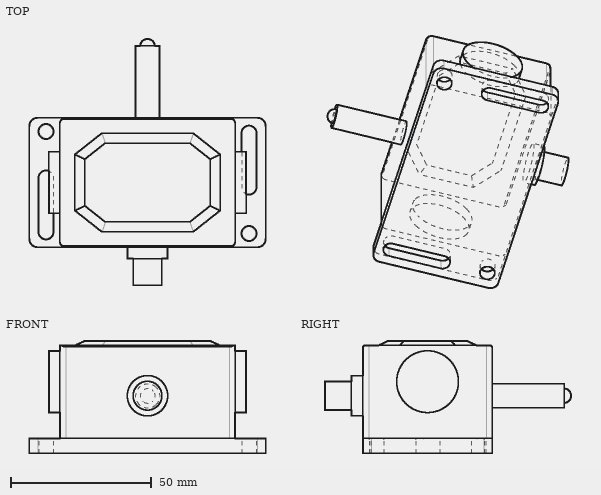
import cadquery as cq
import math

plate_length = 84.0
plate_width = 46.0
plate_height = 5.3
plate_corner_radius = 3.0
hole_diameter = 5.25
slot_width = 5.25
hole_x = 36.05
hole_y = 18.1
slot_length = 24.4
slot_y = 8.0

housing_length = 62.3
housing_top = 38.3
housing_corner_radius = 2.2
housing_top_chamfer = 0.5
housing_height = housing_top - plate_height

overall_height = 40.0
cover_length = 51.5
cover_width = 35.0
cover_corner_x = 9.5
cover_corner_y = 7.5
cover_bevel_width = 3.5
cover_height = overall_height - housing_top

cap_diameter = 22.0
cap_span = 70.0
cap_z = 25.5
cap_thickness = (cap_span - housing_length) / 2

overall_width = 87.5
shaft_z = 20.5
collar_diameter = 14.35
collar_length = 4.0
front_shaft_diameter = 10.2
front_shaft_length = 9.45
rear_shaft_diameter = 8.6
tip_radius = 2.6
tip_length = 2.45
rear_shaft_length = (
    overall_width - plate_width - collar_length - front_shaft_length - tip_length
)

front_face_y = -plate_width / 2
collar_end_y = front_face_y - collar_length
rear_face_y = plate_width / 2
rear_shaft_end_y = rear_face_y + rear_shaft_length


def make_plate():
    """Rounded plate with one hole and one slot at each end, placed with half-turn symmetry."""
    plate = (
        cq.Workplane("XY")
        .box(plate_length, plate_width, plate_height, centered=(True, True, False))
        .edges("|Z")
        .fillet(plate_corner_radius)
    )
    holes = [(-hole_x, hole_y), (hole_x, -hole_y)]
    slots = [(-hole_x, -slot_y), (hole_x, slot_y)]
    plate = plate.faces(">Z").workplane().pushPoints(holes).hole(hole_diameter)
    slot_cut = (
        cq.Workplane("XY")
        .pushPoints(slots)
        .slot2D(slot_length, slot_width, 90)
        .extrude(plate_height)
    )
    return plate.cut(slot_cut)


def make_housing():
    """Block with chamfered front and rear top edges and rounded upright edges."""
    block = (
        cq.Workplane("XY")
        .workplane(offset=plate_height)
        .box(housing_length, plate_width, housing_height, centered=(True, True, False))
    )
    block = block.faces(">Z").edges("|X").chamfer(housing_top_chamfer)
    return block.edges("|Z").fillet(housing_corner_radius)


def make_cover():
    """Octagonal cover whose sides slope inward by the bevel width."""
    half_length = cover_length / 2
    half_width = cover_width / 2
    side_x = half_length - cover_corner_x
    end_y = half_width - cover_corner_y
    outline = [
        (half_length, -end_y),
        (half_length, end_y),
        (side_x, half_width),
        (-side_x, half_width),
        (-half_length, end_y),
        (-half_length, -end_y),
        (-side_x, -half_width),
        (side_x, -half_width),
    ]
    slope = math.degrees(math.atan2(cover_bevel_width, cover_height))
    return (
        cq.Workplane("XY")
        .workplane(offset=housing_top)
        .polyline(outline)
        .close()
        .extrude(cover_height, taper=slope)
    )


def make_cap(side):
    """Round cap on the housing end; side is -1 or 1 along X."""
    return (
        cq.Workplane("YZ", origin=(side * housing_length / 2, 0, 0))
        .center(0, cap_z)
        .circle(cap_diameter / 2)
        .extrude(side * cap_thickness)
    )


def make_cylinder(diameter, start_y, length):
    """Cylinder on the shaft axis. A positive length runs toward -Y."""
    return (
        cq.Workplane("XZ", origin=(0, start_y, shaft_z))
        .circle(diameter / 2)
        .extrude(length)
    )


def make_tip():
    """Part of a ball that stands out of the rear shaft's flat end."""
    ball_y = rear_shaft_end_y + tip_length - tip_radius
    ball = cq.Workplane("XY", origin=(0, ball_y, shaft_z)).sphere(tip_radius)
    kept = make_cylinder(2 * rear_shaft_diameter, rear_shaft_end_y, -2 * tip_radius)
    return ball.intersect(kept)


plate = make_plate()
housing = make_housing()
cover = make_cover()
caps = [make_cap(side) for side in (-1, 1)]
collar = make_cylinder(collar_diameter, front_face_y, collar_length)
front_shaft = make_cylinder(front_shaft_diameter, collar_end_y, front_shaft_length)
rear_shaft = make_cylinder(rear_shaft_diameter, rear_face_y, -rear_shaft_length)
tip = make_tip()

result = cq.Compound.makeCompound(
    [
        plate.val(),
        housing.val(),
        cover.val(),
        *[cap.val() for cap in caps],
        collar.val(),
        front_shaft.val(),
        rear_shaft.val(),
        tip.val(),
    ]
)